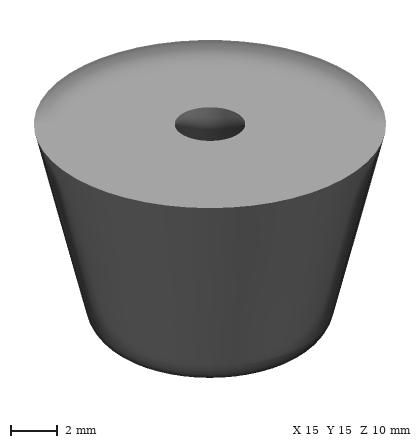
import cadquery as cq

top_diameter = 15.0
bottom_diameter = 10.0
height = 10.0
bottom_round = 1.5
bore_diameter = 3.0


def make_foot():
    """Tapered foot with a rounded bottom edge and a straight bore through it."""
    top_radius = top_diameter / 2
    bottom_radius = bottom_diameter / 2

    cone = (
        cq.Workplane("XZ")
        .moveTo(0, 0)
        .lineTo(-bottom_radius, 0)
        .lineTo(-top_radius, height)
        .lineTo(0, height)
        .close()
        .revolve(360, (0, 0, 0), (0, 1, 0))
    )
    rounded_cone = cone.faces("<Z").edges().fillet(bottom_round)

    bore = cq.Workplane("XY").circle(bore_diameter / 2).extrude(height)
    return rounded_cone.cut(bore)


foot = make_foot()

result = cq.Compound.makeCompound([foot.val()])